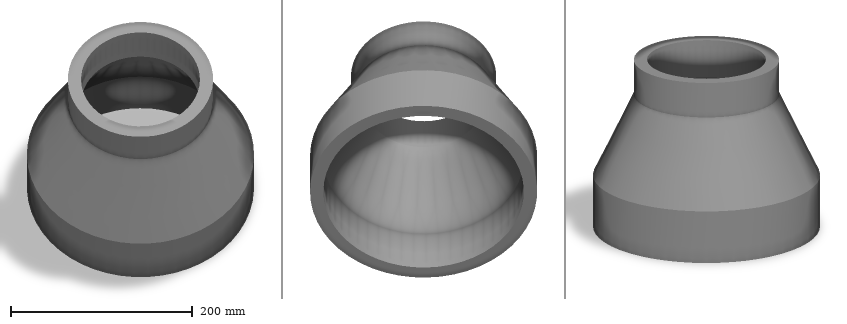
import cadquery as cq
import math

large_diameter = 250.0
large_length = 60.0
small_diameter = 160.0
small_length = 40.0
total_height = 194.0
wall = 14.6

large_radius = large_diameter / 2
small_radius = small_diameter / 2
cone_bottom = large_length
cone_top = total_height - small_length

slope_angle = math.atan2(large_radius - small_radius, cone_top - cone_bottom)
bend_drop = wall * math.tan(slope_angle / 2)


def turned_body(lower_radius, upper_radius, lower_bend, upper_bend):
    """Solid of two cylinders joined by a cone, over the full height."""
    return (
        cq.Workplane("XZ")
        .lineTo(lower_radius, 0)
        .lineTo(lower_radius, lower_bend)
        .lineTo(upper_radius, upper_bend)
        .lineTo(upper_radius, total_height)
        .lineTo(0, total_height)
        .close()
        .revolve(360, (0, 0, 0), (0, 1, 0))
    )


outer_body = turned_body(large_radius, small_radius, cone_bottom, cone_top)
bore = turned_body(
    large_radius - wall,
    small_radius - wall,
    cone_bottom - bend_drop,
    cone_top - bend_drop,
)

result = outer_body.cut(bore)